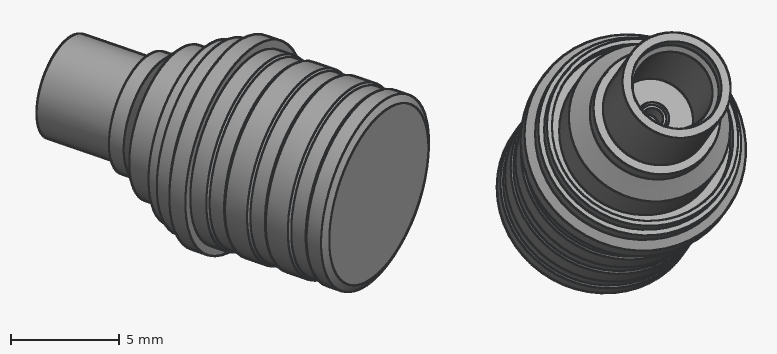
import cadquery as cq

TOTAL_LENGTH = 16.98

TAIL_RADIUS = 2.56
TAIL_END = 4.2
SHOULDER_RADIUS = 3.0
SHOULDER_END = 5.0
BARREL_RADIUS = 3.82
BARREL_CONE_END = 5.79

BORE_RADIUS = 1.88
BORE_MOUTH_RADIUS = 2.12
BORE_MOUTH_DEPTH = 0.6
BORE_TAPER_LENGTH = BORE_MOUTH_RADIUS - BORE_RADIUS
BORE_DEPTH = SHOULDER_END

CUP_RIM_RADIUS = 0.75
CUP_SEAT_RADIUS = 0.65
CUP_SEAT_DEPTH = CUP_RIM_RADIUS - CUP_SEAT_RADIUS
CUP_RADIUS = 0.5
CUP_DEPTH = 1.02

SLEEVE_START = 7.27
LIP_RADIUS = 4.53
LIP_END = 7.88
SLEEVE_RADIUS = 4.8
COLLAR_RADIUS = 5.25
COLLAR_CONE_START = 8.57
COLLAR_START = 8.83
COLLAR_END = 9.7
NOSE_RADIUS = 4.41
NOSE_CHAMFER_LENGTH = 0.2

CLEARANCE_RADIUS = 4.3
CLEARANCE_DEPTH = 0.61

GROOVE_COUNT = 3
GROOVE_FIRST_START = 10.56
GROOVE_PITCH = 2.2
GROOVE_WIDTH = 1.02
GROOVE_DEPTH = 0.1
GROOVE_TAPER_LENGTH = 0.12


def revolve_outline(points):
    """Revolve a closed (x, radius) outline about the X axis."""
    outline = cq.Workplane("XY").polyline(points).close()
    return outline.revolve(360, (0, 0, 0), (1, 0, 0))


def make_body():
    """Rear body, running into the sleeve."""
    return revolve_outline([
        (0, 0),
        (0, TAIL_RADIUS),
        (TAIL_END, TAIL_RADIUS),
        (TAIL_END, SHOULDER_RADIUS),
        (SHOULDER_END, SHOULDER_RADIUS),
        (BARREL_CONE_END, BARREL_RADIUS),
        (TOTAL_LENGTH, BARREL_RADIUS),
        (TOTAL_LENGTH, 0),
    ])


def make_sleeve():
    """Outer sleeve as a ring that leaves a clearance around the barrel at its rear."""
    clearance_end = SLEEVE_START + CLEARANCE_DEPTH
    return revolve_outline([
        (SLEEVE_START, CLEARANCE_RADIUS),
        (SLEEVE_START, LIP_RADIUS),
        (LIP_END, LIP_RADIUS),
        (LIP_END, SLEEVE_RADIUS),
        (COLLAR_CONE_START, SLEEVE_RADIUS),
        (COLLAR_START, COLLAR_RADIUS),
        (COLLAR_END, COLLAR_RADIUS),
        (COLLAR_END, SLEEVE_RADIUS),
        (TOTAL_LENGTH - NOSE_CHAMFER_LENGTH, SLEEVE_RADIUS),
        (TOTAL_LENGTH, NOSE_RADIUS),
        (TOTAL_LENGTH, BARREL_RADIUS),
        (clearance_end, BARREL_RADIUS),
        (clearance_end, CLEARANCE_RADIUS),
    ])


def make_groove(start):
    """Cutter for one grip groove with tapered flanks."""
    floor_radius = SLEEVE_RADIUS - GROOVE_DEPTH
    end = start + GROOVE_WIDTH
    return revolve_outline([
        (start, SLEEVE_RADIUS),
        (start + GROOVE_TAPER_LENGTH, floor_radius),
        (end - GROOVE_TAPER_LENGTH, floor_radius),
        (end, SLEEVE_RADIUS),
    ])


def make_bore():
    """Cutter for the tail bore, with a wider tapered mouth."""
    return revolve_outline([
        (0, 0),
        (0, BORE_MOUTH_RADIUS),
        (BORE_MOUTH_DEPTH, BORE_MOUTH_RADIUS),
        (BORE_MOUTH_DEPTH + BORE_TAPER_LENGTH, BORE_RADIUS),
        (BORE_DEPTH, BORE_RADIUS),
        (BORE_DEPTH, 0),
    ])


def make_solder_cup():
    """Cutter for the countersunk seat and blind hole in the bore floor."""
    seat_end = BORE_DEPTH + CUP_SEAT_DEPTH
    cup_end = seat_end + CUP_DEPTH
    return revolve_outline([
        (BORE_DEPTH, 0),
        (BORE_DEPTH, CUP_RIM_RADIUS),
        (seat_end, CUP_SEAT_RADIUS),
        (seat_end, CUP_RADIUS),
        (cup_end, CUP_RADIUS),
        (cup_end, 0),
    ])


result = make_body().union(make_sleeve())
for index in range(GROOVE_COUNT):
    result = result.cut(make_groove(GROOVE_FIRST_START + index * GROOVE_PITCH))
result = result.cut(make_bore())
result = result.cut(make_solder_cup())